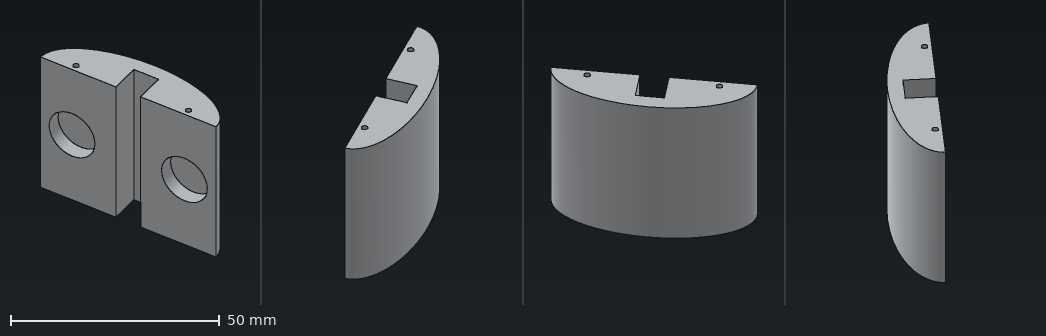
import cadquery as cq

width = 50.0
thickness = 12.0
height = 40.0
slot_width = 7.0
slot_depth = 8.0
pocket_diameter = 13.0
pocket_depth = 4.0
pocket_spacing = 32.0
pin_diameter = 1.5
pin_setback = 1.8

pocket_centers = [(-pocket_spacing / 2, 0), (pocket_spacing / 2, 0)]
pin_centers = [(x, pin_setback) for x, _ in pocket_centers]


def half_ellipse_body():
    """Upright bar with a flat front and a half-elliptical back."""
    full_bar = cq.Workplane("XY").workplane(offset=-height / 2).ellipse(width / 2, thickness).extrude(height)
    back_half = cq.Workplane("XY").box(width, thickness, height, centered=(True, False, True))
    return full_bar.intersect(back_half)


def front_slot():
    """Full-height rectangular slot in the middle of the front face."""
    return cq.Workplane("XY").box(slot_width, slot_depth, height, centered=(True, False, True))


def front_pockets():
    """Round blind pockets either side of the slot."""
    front_face = cq.Workplane("XZ").pushPoints(pocket_centers)
    return front_face.circle(pocket_diameter / 2).extrude(-pocket_depth)


def pin_holes():
    """Vertical pin holes from the top face down into the pockets."""
    pin_axes = cq.Workplane("XY").pushPoints(pin_centers)
    return pin_axes.circle(pin_diameter / 2).extrude(height / 2)


result = half_ellipse_body().cut(front_slot()).cut(front_pockets()).cut(pin_holes())